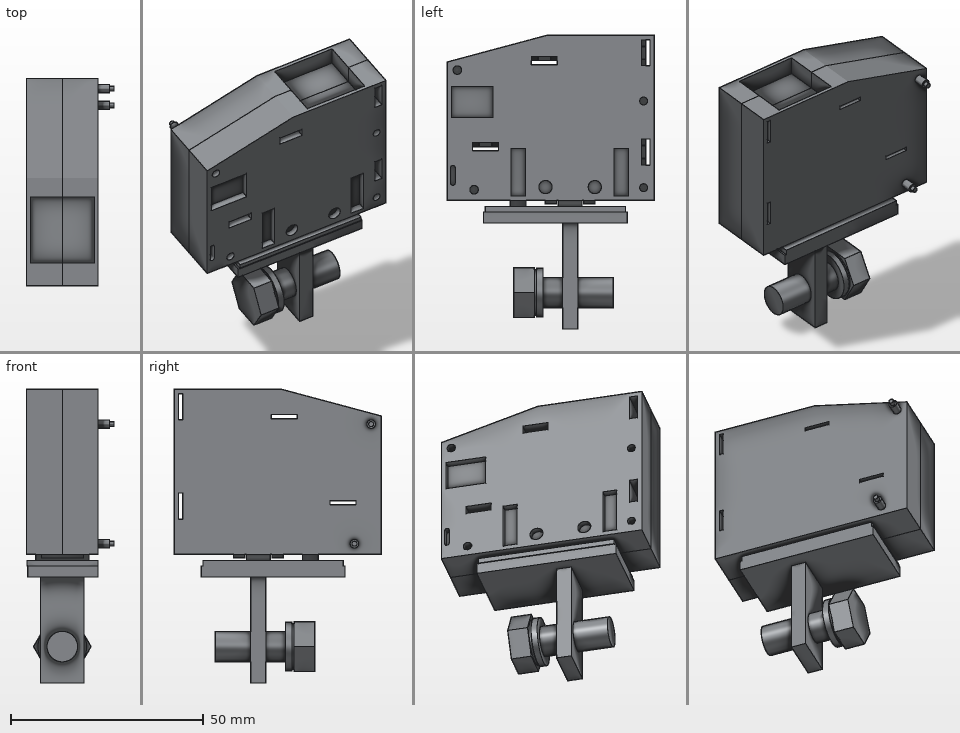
import cadquery as cq
import math


housing_length = 54.0
housing_height = 43.0
housing_back = 32.05
housing_front = housing_back - housing_length
half_width = 9.3
slope_start = 6.05
slope_angle = 15.0
back_height = housing_height - (housing_back - slope_start) * math.tan(math.radians(slope_angle))

well_width = 16.7
well_length = 17.3
well_center_y = -7.4
well_depth = 5.0

recess_depth = 2.0
label_length, label_height = 10.7, 8.1
label_center = (25.5, 25.55)
rib_recess_width, rib_recess_height = 3.75, 12.3
rib_recess_y = (13.55, -13.3)
rib_recess_z = 7.35
obround_length, obround_width = 5.2, 1.2
obround_center = (30.5, 6.5)

pin_places = [(29.4, 33.9), (25.0, 2.75)]
plain_hole_places = [(-19.1, 25.85), (-19.1, 3.3)]
pin_diameter = 2.2
pin_length = 3.0
pin_tip_diameter = 1.3
pin_tip_length = 1.15
socket_diameter = pin_diameter
socket_depth = pin_length
plain_hole_diameter = 2.1
large_hole_diameter = 3.45
large_hole_depth = 1.7
large_hole_places = [(6.4, 3.45), (-6.4, 3.45)]

snap_places = [(6.7, 36.4, 0), (22.0, 14.0, 0), (-19.65, 38.4, -90), (-19.65, 12.55, -90)]
snap_length = 6.7
snap_width = 2.15
snap_ledge = 1.15
snap_tongue = 3.6
tongue_chamfer = 0.2
snap_ramp_depth = 2.0

bar_width = 11.4
bar_thickness = 4.0
total_height = 76.5
bar_bottom = housing_height - total_height
plate_right = half_width
upper_plate_left = -9.25
upper_plate_length = 36.6
upper_plate_top = -1.6
lower_plate_left = -9.0
lower_plate_length = 37.5
lower_plate_top = -3.0
lower_plate_bottom = -6.0
plate_center_y = 3.8
neck_width = 13.9
neck_thickness = 6.3
peg_diameter = 4.1
peg_y = 13.55
hub_radius = 6.5
hub_height = 1.5
lobe_drop = 0.9
lobe_chord = 3.5

bolt_z = -24.0
bolt_diameter = 7.95
bolt_end = -11.25
head_flats = 13.0
head_height = 5.35
head_face = 9.3
collar_diameter = 12.0
collar_height = 0.6
washer_diameter = 12.7
washer_thickness = 1.7


def box(x_range, y_range, z_range):
    """Box spanning three (low, high) ranges."""
    (x0, x1), (y0, y1), (z0, z1) = x_range, y_range, z_range
    return cq.Workplane("XY").box(x1 - x0, y1 - y0, z1 - z0, centered=False).translate((x0, y0, z0))


def centered_range(center, size):
    return center - size / 2, center + size / 2


def side_plane(x):
    """Workplane at x whose local axes are Y and Z, extruding toward +X."""
    return cq.Workplane("YZ", origin=(x, 0, 0))


def bolt_plane(y):
    """Workplane on the bolt axis at y, extruding toward -Y."""
    return cq.Workplane("XZ", origin=(0, y, bolt_z))


def housing_blank(x_start):
    """Half of the housing with its sloped top and its part of the well."""
    blank = (
        side_plane(x_start)
        .moveTo(housing_front, 0)
        .lineTo(housing_back, 0)
        .lineTo(housing_back, back_height)
        .lineTo(slope_start, housing_height)
        .lineTo(housing_front, housing_height)
        .close()
        .extrude(half_width)
    )
    well = box(
        centered_range(0, well_width),
        centered_range(well_center_y, well_length),
        (housing_height - well_depth, housing_height),
    )
    return blank.cut(well).cut(hub_disc())


def place_snap(shape, place):
    y, z, turn = place
    return shape.rotate((0, 0, 0), (1, 0, 0), turn).translate((0, y, z))


def snap_window():
    """Full-size slot through the left half."""
    return box((-half_width, 0), centered_range(0, snap_length), centered_range(0, snap_width))


def snap_catch():
    """Narrowed slot through the right half, with a ramp on each side of the tongue."""
    low, high = centered_range(0, snap_width)
    ledge = high - snap_ledge
    slot = box((0, half_width), centered_range(0, snap_length), (low, ledge))
    ramps = (
        cq.Workplane("XZ")
        .polyline([(0, ledge), (0, high), (snap_ramp_depth, ledge)])
        .close()
        .extrude(snap_length / 2, both=True)
    )
    tongue = box((0, half_width), centered_range(0, snap_tongue), (ledge, high))
    tongue = tongue.faces("<X").edges("|Z").chamfer(tongue_chamfer)
    return slot.union(ramps.cut(tongue))


def left_recesses():
    """Shallow recesses and blind holes sunk into the left half's outer face."""
    face = side_plane(-half_width)
    recesses = face.center(*label_center).rect(label_length, label_height).extrude(recess_depth)
    for y in rib_recess_y:
        rib = face.center(y, rib_recess_z).rect(rib_recess_width, rib_recess_height)
        recesses = recesses.add(rib.extrude(recess_depth))
    obround = face.center(*obround_center).slot2D(obround_length, obround_width, 90)
    recesses = recesses.add(obround.extrude(recess_depth))
    sockets = face.pushPoints(pin_places).circle(socket_diameter / 2)
    recesses = recesses.add(sockets.extrude(socket_depth))
    plain_holes = face.pushPoints(plain_hole_places).circle(plain_hole_diameter / 2)
    recesses = recesses.add(plain_holes.extrude(socket_depth))
    large_holes = face.pushPoints(large_hole_places).circle(large_hole_diameter / 2)
    return recesses.add(large_holes.extrude(large_hole_depth)).combine()


def make_left_half():
    half = housing_blank(-half_width).cut(left_recesses())
    for place in snap_places:
        half = half.cut(place_snap(snap_window(), place))
    return half


def make_right_half():
    half = housing_blank(0)
    for place in snap_places:
        half = half.cut(place_snap(snap_catch(), place))
    pins = side_plane(half_width).pushPoints(pin_places).circle(pin_diameter / 2).extrude(pin_length)
    tips = (
        side_plane(half_width + pin_length)
        .pushPoints(pin_places)
        .circle(pin_tip_diameter / 2)
        .extrude(pin_tip_length)
    )
    return half.union(pins).union(tips)


def hub_disc():
    """Disc of the terminal seated in the underside of the housing."""
    return cq.Workplane("XY").circle(hub_radius).extrude(hub_height)


def hub_lobes():
    """Two round segments hanging from the hub, clear of the neck."""
    disc = cq.Workplane("XY").circle(hub_radius).extrude(-lobe_drop)
    gap = box((-hub_radius, hub_radius), (-lobe_chord, lobe_chord), (-lobe_drop, 0))
    return disc.cut(gap)


def make_terminal():
    """Bar, stepped plate, neck, peg and hub in one piece, with the bolt hole."""
    bar = box(
        centered_range(0, bar_width),
        centered_range(0, bar_thickness),
        (bar_bottom, lower_plate_bottom),
    )
    lower_plate = box(
        (lower_plate_left, plate_right),
        centered_range(plate_center_y, lower_plate_length),
        (lower_plate_bottom, lower_plate_top),
    )
    upper_plate = box(
        (upper_plate_left, plate_right),
        centered_range(plate_center_y, upper_plate_length),
        (lower_plate_top, upper_plate_top),
    )
    neck = box(
        centered_range(0, neck_width),
        centered_range(0, neck_thickness),
        (upper_plate_top, 0),
    )
    peg = cq.Workplane("XY").center(0, peg_y).circle(peg_diameter / 2).extrude(upper_plate_top)
    terminal = bar.union(lower_plate).union(upper_plate).union(neck).union(peg)
    terminal = terminal.union(hub_disc()).union(hub_lobes())
    bolt_hole = bolt_plane(bar_thickness / 2).circle(bolt_diameter / 2).extrude(bar_thickness)
    return terminal.cut(bolt_hole)


def make_bolt():
    """Hexagon bolt with a thin collar under its head; two corners point along X."""
    head_corners = head_flats / math.cos(math.pi / 6)
    head = bolt_plane(head_face + head_height).polygon(6, head_corners).extrude(head_height)
    collar = bolt_plane(head_face).circle(collar_diameter / 2).extrude(collar_height)
    shaft = bolt_plane(head_face).circle(bolt_diameter / 2).extrude(head_face - bolt_end)
    return head.union(collar).union(shaft)


def make_washer():
    """Ring on the bolt shaft, against the collar."""
    ring = bolt_plane(head_face - collar_height).circle(washer_diameter / 2).circle(bolt_diameter / 2)
    return ring.extrude(washer_thickness)


left_half = make_left_half()
right_half = make_right_half()
terminal = make_terminal()
bolt = make_bolt()
washer = make_washer()

result = cq.Compound.makeCompound(
    [left_half.val(), right_half.val(), terminal.val(), bolt.val(), washer.val()]
)